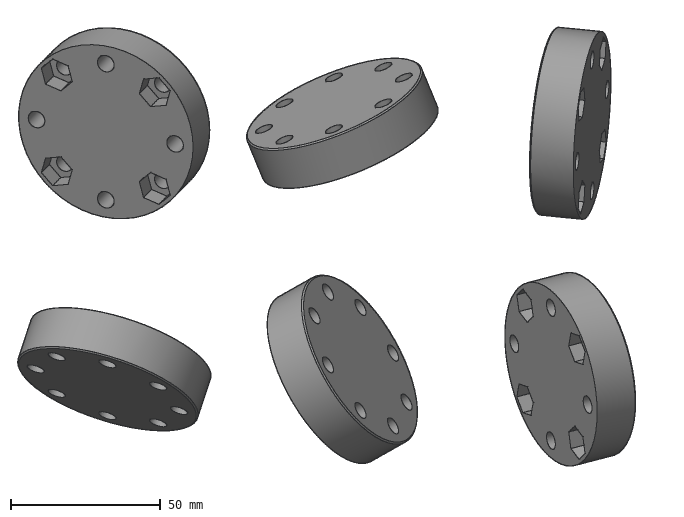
import cadquery as cq

disc_diameter = 63
thickness = 15.0
rim_chamfer = 0.5

hole_count = 8
hole_diameter = 6.0
hole_circle_radius = 25.0
hexagon_sides = 6
nut_across_corners = 11.5
nut_pocket_depth = 7.0

pocket_count = hole_count // 2
hole_pitch = 360 / hole_count


def make_disc():
    """Disc from the front face at Y = 0 to the chamfered back face."""
    disc = cq.Workplane("XZ").circle(disc_diameter / 2).extrude(-thickness)
    return disc.faces(">Y").edges().chamfer(rim_chamfer)


def make_holes():
    return (
        cq.Workplane("XZ")
        .polarArray(hole_circle_radius, 0, 360, hole_count)
        .circle(hole_diameter / 2)
        .extrude(-thickness)
    )


def make_nut_pockets():
    """Hexagons on the diagonals, each with a flat facing the disc axis."""
    half_hexagon_step = 360 / hexagon_sides / 2
    hexagon = (
        cq.Workplane("XZ")
        .polygon(hexagon_sides, nut_across_corners)
        .extrude(-nut_pocket_depth)
        .rotate((0, 0, 0), (0, 1, 0), half_hexagon_step)
        .translate((hole_circle_radius, 0, 0))
    )
    pockets = cq.Workplane("XZ")
    for index in range(pocket_count):
        angle = (2 * index + 1) * hole_pitch
        pockets = pockets.add(hexagon.rotate((0, 0, 0), (0, 1, 0), angle))
    return pockets.combine()


result = make_disc().cut(make_holes()).cut(make_nut_pockets())